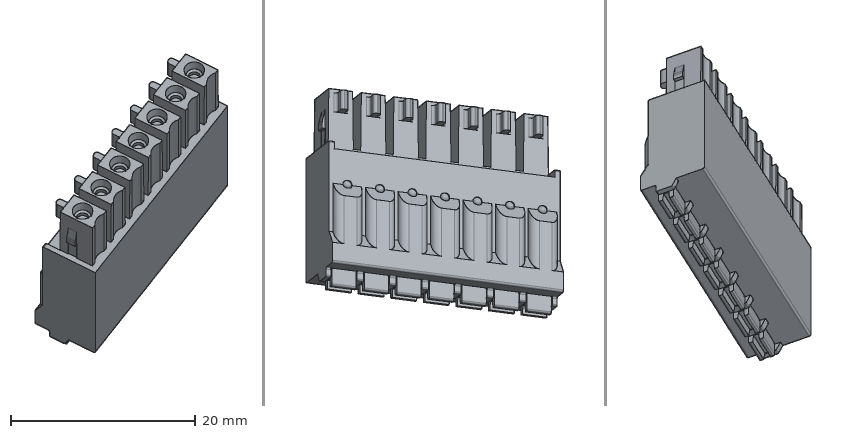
import cadquery as cq
import math


length = 27.05
poles = 7
pitch = 3.81
pole_places = [pitch * (i - (poles - 1) / 2) for i in range(poles)]
gap_places = [pitch * (i - (poles - 2) / 2) for i in range(poles - 1)]

depth = 7.75
height = 22.9
body_bottom = 1.98
body_top = 16.25
body_bottom_round = 0.25
wall_face = 0.95
foot_top = 4.28
foot_slope_top = 5.82
end_wall = 0.6
ledge_floor = 15.37
end_wall_round = 0.22

tower_front = 2.81
tower_back = 6.95
tower_top_width = 2.8
tower_base_width = 2.95
notch_width = 1.85
notch_depth = 0.3

socket_x = 4.8
socket_mouth_radius = 1.1
socket_neck_radius = 0.92
socket_pin_radius = 0.65
socket_neck_depth = 1.0
socket_seat_depth = 1.16
socket_depth = 1.62

peg_front = 1.5
peg_width = 0.85
peg_nose_round = 0.35
peg_root_round = 0.38
peg_bottom = 20.27
peg_top = 22.45

latch_front = 3.85
latch_back = 4.92
latch_bottom = 18.62
latch_shoulder = 19.35
latch_top = 20.9
latch_reach = 1.75
latch_edge_round = 1.35
groove_reach = 1.38

rib_width = 3.33
rib_top = 11.4
rib_slope_bottom = 9.8
rib_round = 0.92
marker_radius = 0.51

skirt_front = 1.87
skirt_back_top = 4.33
skirt_back_bottom = 3.8
skirt_bottom = 0.95
skirt_round = 0.15
skirt_root_round = 0.2
skirt_end_width = 0.57
skirt_middle_width = 0.75
leg_width = 2.85
leg_back = 3.68
leg_round = 0.2
slot_top_front = 2.5
slot_top_back = 3.08
slot_bottom_front = 2.35
slot_bottom_back = 3.2


def box(x_min, x_max, y_min, y_max, z_min, z_max):
    """Box given by its limits."""
    size = (x_max - x_min, y_max - y_min, z_max - z_min)
    return cq.Workplane("XY").box(*size, centered=False).translate((x_min, y_min, z_min))


def bar(xz_points, width):
    """Bar along Y with an outline in XZ, centred on Y = 0."""
    outline = cq.Workplane("XZ").polyline(xz_points).close()
    return outline.extrude(width / 2, both=True)


def copies(shape, places):
    """The same shape at each Y place, joined into one object."""
    group = shape.translate((0, places[0], 0))
    for place in places[1:]:
        group = group.union(shape.translate((0, place, 0)))
    return group


def make_housing():
    """Housing with a stepped front wall and a ledge between its end walls."""
    body = bar(
        [
            (0, body_bottom),
            (0, foot_top),
            (wall_face, foot_slope_top),
            (wall_face, body_top),
            (depth, body_top),
            (depth, body_bottom),
        ],
        length,
    )
    body = body.edges("|Y and <Z").fillet(body_bottom_round)
    top_front_edge = cq.selectors.NearestToPointSelector((wall_face, 0, body_top))
    body = body.edges(top_front_edge).fillet(end_wall_round)
    ledge_end = length / 2 - end_wall
    return body.cut(box(0, tower_front, -ledge_end, ledge_end, ledge_floor, height))


def make_tower():
    """Drafted block with a hollow down its back face."""
    half_base = tower_base_width / 2
    half_top = tower_top_width / 2
    tower = (
        cq.Workplane("YZ")
        .polyline([(-half_base, body_top), (half_base, body_top), (half_top, height), (-half_top, height)])
        .close()
        .extrude(tower_back - tower_front)
        .translate((tower_front, 0, 0))
    )
    notch_radius = ((notch_width / 2) ** 2 + notch_depth**2) / (2 * notch_depth)
    notch = (
        cq.Workplane("XY", origin=(tower_back - notch_depth + notch_radius, 0, body_top))
        .circle(notch_radius)
        .extrude(height - body_top)
    )
    return tower.cut(notch)


def make_socket():
    """Tapered mouth, conical seat and straight pin hole."""
    return (
        cq.Workplane("XZ")
        .polyline(
            [
                (0, height),
                (socket_mouth_radius, height),
                (socket_neck_radius, height - socket_neck_depth),
                (socket_pin_radius, height - socket_seat_depth),
                (socket_pin_radius, height - socket_depth),
                (0, height - socket_depth),
            ]
        )
        .close()
        .revolve(360, (0, 0), (0, 1))
        .translate((socket_x, 0, 0))
    )


def make_peg():
    """Upright peg with a rounded nose and flared root."""
    half = peg_width / 2
    flare_x = tower_front - peg_root_round
    flare_half = half + peg_root_round
    bend = peg_root_round * math.sqrt(0.5)
    peg = (
        cq.Workplane("XY", origin=(0, 0, peg_bottom))
        .moveTo(peg_front, -half)
        .lineTo(flare_x, -half)
        .threePointArc((flare_x + bend, -flare_half + bend), (tower_front, -flare_half))
        .lineTo(tower_front, flare_half)
        .threePointArc((flare_x + bend, flare_half - bend), (flare_x, half))
        .lineTo(peg_front, half)
        .close()
        .extrude(peg_top - peg_bottom)
    )
    return peg.edges("|Z and <X").fillet(peg_nose_round)


def make_latch():
    """Wedge on the +Y side of a tower centred at Y = 0."""
    wedge = (
        cq.Workplane("YZ", origin=(latch_front, 0, 0))
        .polyline(
            [
                (0, latch_bottom),
                (latch_reach, latch_bottom),
                (latch_reach, latch_shoulder),
                (tower_top_width / 2, latch_top),
                (0, latch_top),
            ]
        )
        .close()
        .extrude(latch_back - latch_front)
    )
    shoulder = cq.selectors.NearestToPointSelector((socket_x, latch_reach, latch_shoulder))
    wedge = wedge.edges("|X").edges(shoulder).fillet(latch_edge_round)
    outer_part = box(latch_front, latch_back, groove_reach, latch_reach, latch_bottom, latch_top)
    return wedge.intersect(outer_part)


def make_latch_groove():
    """Shallow upright groove from the latch down to the housing."""
    return box(latch_front, latch_back, groove_reach, tower_base_width, body_top, latch_bottom)


def make_rib():
    """Wire-entry rib with rounded long edges and a sloping top."""
    profile = bar(
        [
            (0, body_bottom + body_bottom_round),
            (0, rib_slope_bottom),
            (wall_face, rib_top),
            (tower_front, rib_top),
            (tower_front, body_bottom + body_bottom_round),
        ],
        rib_width,
    )
    rounded = box(0, tower_front, -rib_width / 2, rib_width / 2, body_bottom, rib_top)
    rounded = rounded.edges("|Z and <X").fillet(rib_round)
    return profile.intersect(rounded)


def make_skirt(width):
    """Tapered strip under the housing, rounded into it at the front."""
    round_start = skirt_front - skirt_root_round
    bend = skirt_root_round * math.sqrt(0.5)
    outline = (
        cq.Workplane("XZ")
        .moveTo(round_start, body_bottom)
        .threePointArc(
            (round_start + bend, body_bottom - skirt_root_round + bend),
            (skirt_front, body_bottom - skirt_root_round),
        )
        .lineTo(skirt_front, skirt_bottom)
        .lineTo(skirt_back_bottom, skirt_bottom)
        .lineTo(skirt_back_top, body_bottom)
        .close()
    )
    skirt = outline.extrude(width / 2, both=True)
    return skirt.edges("|Y and <Z").fillet(skirt_round)


def make_leg_pair():
    """Contact block forked into two tapering legs."""
    block = box(skirt_front, leg_back, -leg_width / 2, leg_width / 2, 0, body_bottom)
    block = block.edges("|Y and <Z").fillet(leg_round)
    slot = bar(
        [
            (slot_bottom_front, 0),
            (slot_top_front, skirt_bottom),
            (slot_top_back, skirt_bottom),
            (slot_bottom_back, 0),
        ],
        leg_width,
    )
    return block.cut(slot)


connector = make_housing()

tower = make_tower().union(make_peg()).cut(make_socket())
ledge_marker = cq.Workplane("XY").sphere(marker_radius).translate((tower_front, 0, ledge_floor))
rib_marker = cq.Workplane("XY").sphere(marker_radius).translate((wall_face, 0, rib_top))
for feature in (tower, ledge_marker, make_rib(), rib_marker, make_leg_pair()):
    connector = connector.union(copies(feature, pole_places))

skirt_end_place = (length - skirt_end_width) / 2
connector = connector.union(copies(make_skirt(skirt_end_width), [-skirt_end_place, skirt_end_place]))
connector = connector.union(copies(make_skirt(skirt_middle_width), gap_places))

groove = make_latch_groove().translate((0, pole_places[-1], 0))
latch = make_latch().translate((0, pole_places[-1], 0))
connector = connector.cut(groove).cut(groove.mirror("XZ"))
result = connector.union(latch).union(latch.mirror("XZ"))